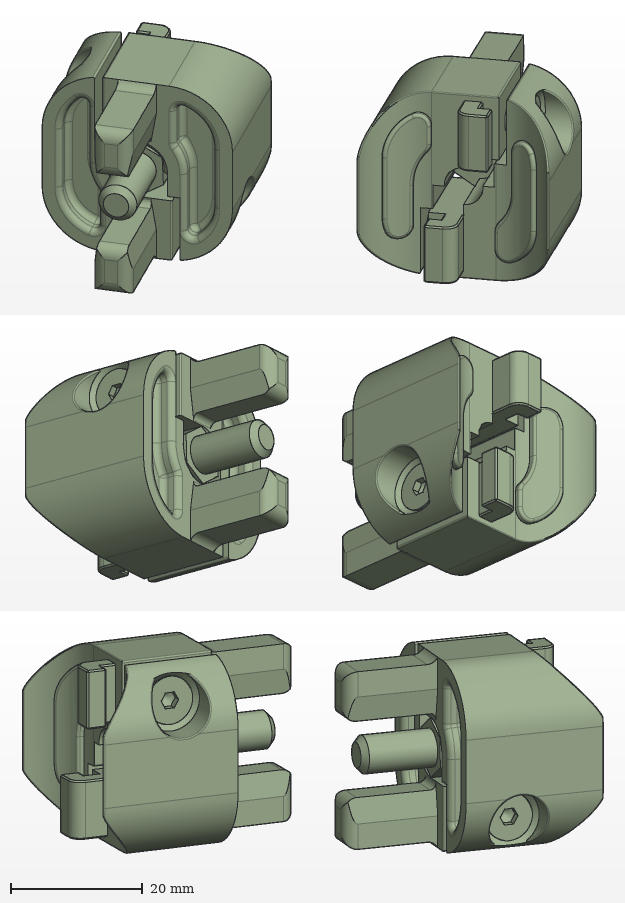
import cadquery as cq
import math


half_width = 15.0
corner_radius = 10.0
corner_center = half_width - corner_radius
body_depth = 15.0
hollow_radius = 10.0
wing_tip_y = 22.37
block_end_x = 5.5
wing_edge_x = -6.7
step_top_z = 4.07
bore_radius = 4.75
bore_rear_radius = 3.0
bore_fill_top_z = 0.25
block_edge_round = 0.25
wing_edge_round = 0.3
step_round = 0.2
rear_edge_round = 0.15

pocket_depth = 3.0
pocket_margin = 2.0
pocket_corner = 2.0
pocket_round = 1.0
mouth_round = 0.99
pocket_lower_x = -5.0

pad_margin = 3.0
pad_corner = 2.0
pad_upper_x = -7.7
pad_lower_x = -5.0
pad_seat_depth = 1.0
pad_height = 1.0
pad_edge_round = 0.5

prong_length = 15.0
prong_half_width = 3.0
prong_inner_z = 6.0
prong_outer_z = 14.0
prong_taper_start_z = 10.0
prong_taper_end_half_width = 2.33
prong_end_round = 2.0
prong_outer_flare = 2.0
prong_inner_flare = 1.0

hook_tip_x = 5.0
hook_neck_width = 3.0
hook_underside_y = 17.4
hook_top_y = 20.6
hook_outer_z = prong_outer_z
hook_round = 2.0
hook_chamfer = 0.25

screw_y = 9.0
screw_z = 9.25
screw_radius = 2.0
screw_head_radius = 3.8
screw_head_x = -9.8
screw_head_rim = 0.4
screw_tip_x = 4.0
socket_flats = 2.5
socket_depth = 1.2
socket_point_depth = 0.75
counterbore_radius = 4.7
counterbore_floor_x = screw_head_x + screw_head_rim - (counterbore_radius - screw_head_radius)
counterbore_edge_round = 0.2

bolt_radius = 3.0
bolt_tip_y = -12.1
bolt_chamfer = 1.0
bolt_head_flats = 8.05
bolt_head_thickness = 4.0
bolt_head_turn = -2.5


def front_plane(y=0.0):
    """Sketch plane at y with local X along X and local Y along Z; negative extrusions go toward +Y."""
    return cq.Workplane(cq.Plane(origin=(0, y, 0), xDir=(1, 0, 0), normal=(0, -1, 0)))


def nearest(x, y, z):
    """Selects the edge or face whose middle lies closest to a point."""
    return cq.selectors.NearestToPointSelector((x, y, z))


def turned(body):
    """The copy of a body that belongs to the opposite half."""
    return body.rotate((0, 0, 0), (0, 1, 0), 180)


def on_circle(center, radius, toward):
    """Point of a circle on the ray from its center to another point."""
    dx = toward[0] - center[0]
    dz = toward[1] - center[1]
    length = math.hypot(dx, dz)
    return (center[0] + radius * dx / length, center[1] + radius * dz / length)


def circle_middle(center, radius, start, end):
    """Point of a circle halfway along the shorter arc between two of its points."""
    return on_circle(center, radius, ((start[0] + end[0]) / 2, (start[1] + end[1]) / 2))


def s_outline(plane, left_x, upper_x, lower_x, bend_radius, corner):
    """S-shaped loop in the wing.

    The left side follows the rounded housing corners. The right side runs straight down at upper_x,
    bends around the central axis and goes on at lower_x. The three corners are rounded.
    """
    top = (-corner_center, corner_center)
    bottom = (-corner_center, -corner_center)
    side_radius = -corner_center - left_x
    reach = side_radius - corner
    upper_tip_x = upper_x - corner
    lower_tip_x = lower_x - corner
    upper_tip = (upper_tip_x, top[1] + math.sqrt(reach ** 2 - (upper_tip_x - top[0]) ** 2))
    lower_tip = (lower_tip_x, bottom[1] - math.sqrt(reach ** 2 - (lower_tip_x - bottom[0]) ** 2))
    bend_tip = (lower_tip_x, -math.sqrt((bend_radius + corner) ** 2 - lower_tip_x ** 2))

    top_start = (left_x, top[1])
    top_end = on_circle(top, side_radius, upper_tip)
    tip_end = (upper_x, upper_tip[1])
    bend_start = (-bend_radius, 0)
    bend_end = on_circle((0, 0), bend_radius, bend_tip)
    lower_start = (lower_x, bend_tip[1])
    lower_end = (lower_x, lower_tip[1])
    bottom_start = on_circle(bottom, side_radius, lower_tip)
    bottom_end = (left_x, bottom[1])
    return (
        plane.moveTo(*top_start)
        .threePointArc(circle_middle(top, side_radius, top_start, top_end), top_end)
        .threePointArc(circle_middle(upper_tip, corner, top_end, tip_end), tip_end)
        .lineTo(*bend_start)
        .threePointArc(circle_middle((0, 0), bend_radius, bend_start, bend_end), bend_end)
        .threePointArc(circle_middle(bend_tip, corner, bend_end, lower_start), lower_start)
        .lineTo(*lower_end)
        .threePointArc(circle_middle(lower_tip, corner, lower_end, bottom_start), bottom_start)
        .threePointArc(circle_middle(bottom, side_radius, bottom_start, bottom_end), bottom_end)
        .close()
    )


def plan_prism(hollow, tip_y, right_x):
    """Everything in front of the rear side: flat in the middle, hollow toward the wing."""
    center_y = body_depth + hollow_radius
    tip_x = -corner_center - math.sqrt(hollow ** 2 - (center_y - tip_y) ** 2)
    flat_y = center_y - hollow
    middle = circle_middle((-corner_center, center_y), hollow, (-corner_center, flat_y), (tip_x, tip_y))
    return (
        cq.Workplane("XY")
        .moveTo(-half_width, 0)
        .lineTo(right_x, 0)
        .lineTo(right_x, flat_y)
        .lineTo(-corner_center, flat_y)
        .threePointArc(middle, (tip_x, tip_y))
        .lineTo(-half_width, tip_y)
        .close()
        .extrude(half_width, both=True)
    )


def envelope():
    """Rounded square housing up to the rear side, with a small round along the rear rim."""
    top = (-corner_center, corner_center)
    bottom = (-corner_center, -corner_center)
    corner_reach = corner_radius * math.sqrt(0.5)
    outer = (
        front_plane()
        .moveTo(half_width, half_width)
        .lineTo(-corner_center, half_width)
        .threePointArc((top[0] - corner_reach, top[1] + corner_reach), (-half_width, corner_center))
        .lineTo(-half_width, -corner_center)
        .threePointArc((bottom[0] - corner_reach, bottom[1] - corner_reach), (-corner_center, -half_width))
        .lineTo(half_width, -half_width)
        .close()
        .extrude(-wing_tip_y)
    )
    solid = outer.intersect(plan_prism(hollow_radius, wing_tip_y, half_width))
    rear_rim = cq.selectors.BoxSelector(
        (-2 * half_width, body_depth - 1, -2 * half_width), (half_width - 1, 2 * wing_tip_y, 2 * half_width)
    )
    hollow_edge = nearest(-corner_center, body_depth, 0)
    return solid.edges(rear_rim - hollow_edge).fillet(rear_edge_round)


def central_bore():
    """Bore on the Y axis with a 45-degree mouth at the front face."""
    mouth_depth = bore_radius - bore_rear_radius
    origin = cq.Vector(0, 0, 0)
    mouth = cq.Solid.makeCone(bore_radius, bore_rear_radius, mouth_depth, origin, cq.Vector(0, 1, 0))
    return front_plane().circle(bore_rear_radius).extrude(-wing_tip_y).union(cq.Workplane("XY").add(mouth))


def half_blank():
    """Housing half with its wing at -X and its block at -Z, before the pocket and the screw holes."""
    top = (-corner_center, corner_center)
    bottom = (-corner_center, -corner_center)
    wing_rise = math.sqrt(corner_radius ** 2 - (wing_edge_x - top[0]) ** 2)
    wing_top = (wing_edge_x, top[1] + wing_rise)
    side_top = (-half_width, corner_center)
    side_bottom = (-half_width, -corner_center)
    base = (-corner_center, -half_width)
    blank = (
        front_plane()
        .moveTo(*base)
        .lineTo(block_end_x, -half_width)
        .lineTo(block_end_x, -bore_radius)
        .lineTo(0, -bore_radius)
        .lineTo(0, bore_fill_top_z)
        .lineTo(-bore_radius, bore_fill_top_z)
        .lineTo(-bore_radius, step_top_z)
        .lineTo(wing_edge_x, step_top_z)
        .lineTo(*wing_top)
        .threePointArc(circle_middle(top, corner_radius, wing_top, side_top), side_top)
        .lineTo(*side_bottom)
        .threePointArc(circle_middle(bottom, corner_radius, side_bottom, base), base)
        .close()
        .extrude(-wing_tip_y)
    )
    middle_y = wing_tip_y / 2
    block_middle_z = -(half_width + bore_radius) / 2
    blank = blank.edges(nearest(wing_edge_x, middle_y, wing_top[1])).fillet(wing_edge_round)
    blank = blank.edges(nearest(-bore_radius, middle_y, step_top_z)).fillet(step_round)
    outer_edge = blank.edges(nearest(block_end_x, middle_y, -half_width))
    front_edge = blank.edges(nearest(block_end_x, 0, block_middle_z))
    blank = outer_edge.add(front_edge).fillet(block_edge_round)
    return blank.intersect(envelope()).cut(central_bore())


def cut_front_pocket(body):
    """Cuts the S-shaped pocket; its wall runs into the floor and the front face in quarter rounds."""
    wall = s_outline(
        front_plane(),
        -half_width + pocket_margin + pocket_round,
        wing_edge_x - pocket_round,
        pocket_lower_x - pocket_round,
        -wing_edge_x + pocket_round,
        pocket_corner - pocket_round,
    ).extrude(-pocket_depth)
    body = body.cut(wall.faces(">Y").edges().fillet(pocket_round))
    mouth = body.faces("<Y").val().innerWires()[0]
    return body.newObject(mouth.Edges()).fillet(mouth_round)


def prong():
    """Prong of the half's block: flared at its foot, tapered toward the axis, rounded at its end."""
    flare_outer_y = -math.sqrt(prong_outer_flare ** 2 - (prong_outer_z + prong_outer_flare - half_width) ** 2)
    flare_center_z = -(prong_outer_z + prong_outer_flare)
    outer_foot = (0, -half_width)
    outer_foot_end = (flare_outer_y, -prong_outer_z)
    inner_foot = (0, -prong_inner_z + prong_inner_flare)
    inner_foot_end = (-prong_inner_flare, -prong_inner_z)
    end_y = -prong_length
    end_corner = prong_end_round * (1 - math.sqrt(0.5))
    side = (
        cq.Workplane("YZ")
        .moveTo(*outer_foot)
        .threePointArc(
            circle_middle((flare_outer_y, flare_center_z), prong_outer_flare, outer_foot, outer_foot_end),
            outer_foot_end,
        )
        .lineTo(end_y + prong_end_round, -prong_outer_z)
        .threePointArc(
            (end_y + end_corner, -prong_outer_z + end_corner), (end_y, -prong_outer_z + prong_end_round)
        )
        .lineTo(end_y, -prong_inner_z - prong_end_round)
        .threePointArc(
            (end_y + end_corner, -prong_inner_z - end_corner), (end_y + prong_end_round, -prong_inner_z)
        )
        .lineTo(*inner_foot_end)
        .threePointArc(
            circle_middle((-prong_inner_flare, inner_foot[1]), prong_inner_flare, inner_foot_end, inner_foot),
            inner_foot,
        )
        .close()
        .extrude(prong_half_width, both=True)
    )
    plan = (
        cq.Workplane("XY")
        .rect(2 * prong_half_width, 2 * prong_length)
        .extrude(half_width, both=True)
        .edges("|Z and <Y")
        .fillet(prong_end_round)
    )
    taper_slope = (prong_half_width - prong_taper_end_half_width) / (prong_taper_start_z - prong_inner_z)
    axis_half_width = prong_half_width - taper_slope * prong_taper_start_z
    section = (
        front_plane(-prong_length)
        .polyline([
            (-prong_half_width, -half_width),
            (prong_half_width, -half_width),
            (prong_half_width, -prong_taper_start_z),
            (axis_half_width, 0),
            (-axis_half_width, 0),
            (-prong_half_width, -prong_taper_start_z),
        ])
        .close()
        .extrude(-prong_length)
    )
    return side.intersect(plan).intersect(section)


def hook():
    """L-shaped hook behind the half's block, reaching toward +X, with bevelled outer edges."""
    arc_offset = hook_round * (1 - math.sqrt(0.5))
    blank = (
        cq.Workplane("XY", origin=(0, 0, -hook_outer_z))
        .moveTo(0, body_depth)
        .lineTo(hook_neck_width, body_depth)
        .lineTo(hook_neck_width, hook_underside_y)
        .lineTo(hook_tip_x, hook_underside_y)
        .lineTo(hook_tip_x, hook_top_y)
        .lineTo(hook_round, hook_top_y)
        .threePointArc((arc_offset, hook_top_y - arc_offset), (0, hook_top_y - hook_round))
        .close()
        .extrude(hook_outer_z - bore_radius)
    )
    return blank.faces("<Z or >Z or >X").edges("not <Y").chamfer(hook_chamfer)


def cylinder_x(start_x, end_x, radius):
    """Cylinder along the screw axis between two X positions."""
    center = (start_x, screw_y, screw_z)
    return cq.Workplane("YZ", origin=center).circle(radius).extrude(end_x - start_x)


def cone_x(start_x, start_radius, end_radius, length):
    """Cone along the screw axis, from a start position toward +X."""
    start = cq.Vector(start_x, screw_y, screw_z)
    cone = cq.Solid.makeCone(start_radius, end_radius, length, start, cq.Vector(1, 0, 0))
    return cq.Workplane("XY").add(cone)


def screw_socket():
    """Hexagon socket with a drill point at its bottom."""
    socket_radius = socket_flats / math.sqrt(3)
    hexagon = (
        cq.Workplane("YZ", origin=(screw_head_x, screw_y, screw_z))
        .polygon(6, 2 * socket_radius)
        .extrude(socket_depth + socket_point_depth)
    )
    floor_x = screw_head_x + socket_depth
    drilled = cylinder_x(screw_head_x, floor_x, socket_radius)
    drilled = drilled.union(cone_x(floor_x, socket_radius, 0, socket_point_depth))
    return hexagon.intersect(drilled)


def clamp_screw():
    """Countersunk screw along +X: short straight rim, 45-degree cone, shank and hexagon socket."""
    cone_start_x = screw_head_x + screw_head_rim
    rim = cylinder_x(screw_head_x, cone_start_x, screw_head_radius)
    cone = cone_x(cone_start_x, screw_head_radius, screw_radius, screw_head_radius - screw_radius)
    shank = cylinder_x(cone_start_x, screw_tip_x, screw_radius)
    return rim.union(cone).union(shank).cut(screw_socket())


def cut_screw_seat(body):
    """Cuts the counterbore and the 45-degree seat of the screw head, and rounds the rim."""
    body = body.cut(cylinder_x(-half_width, counterbore_floor_x, counterbore_radius))
    seat_length = counterbore_radius - screw_radius
    body = body.cut(cone_x(counterbore_floor_x, counterbore_radius, screw_radius, seat_length))
    rim = nearest(-half_width, screw_y, screw_z - counterbore_radius)
    return body.edges(rim).fillet(counterbore_edge_round)


def pad():
    """Pad that follows the hollow of the wing, sunk into a seat, with a rounded outer edge."""
    column = s_outline(
        front_plane(), -half_width + pad_margin, pad_upper_x, pad_lower_x, -pad_upper_x, pad_corner
    ).extrude(-wing_tip_y)
    top_radius = hollow_radius - pad_height
    reach = top_radius * math.sqrt(0.5)
    body = column.intersect(plan_prism(top_radius, wing_tip_y, half_width))
    top = body.faces(nearest(-corner_center - reach, body_depth + hollow_radius - reach, 0))
    body = top.edges().fillet(pad_edge_round)
    return body.cut(plan_prism(hollow_radius + pad_seat_depth, wing_tip_y, half_width))


def hex_bolt():
    """Bolt on the Y axis: hexagon head inside the bore, shank toward -Y with a bevelled tip."""
    head = (
        front_plane()
        .polygon(6, 2 * bolt_head_flats / math.sqrt(3))
        .extrude(-bolt_head_thickness)
        .rotate((0, 0, 0), (0, 1, 0), 90 + bolt_head_turn)
    )
    shank = front_plane().circle(bolt_radius).extrude(-bolt_tip_y).faces("<Y").chamfer(bolt_chamfer)
    return head.union(shank)


screw = clamp_screw()
bolt = hex_bolt()
wing_pad = pad()
half = cut_front_pocket(half_blank())
half = cut_screw_seat(half).union(prong()).union(hook())
half = half.cut(bolt).cut(wing_pad).cut(screw).cut(turned(screw))
result = cq.Compound.makeCompound([
    half.val(),
    turned(half).val(),
    screw.val(),
    turned(screw).val(),
    wing_pad.val(),
    turned(wing_pad).val(),
    bolt.val(),
])